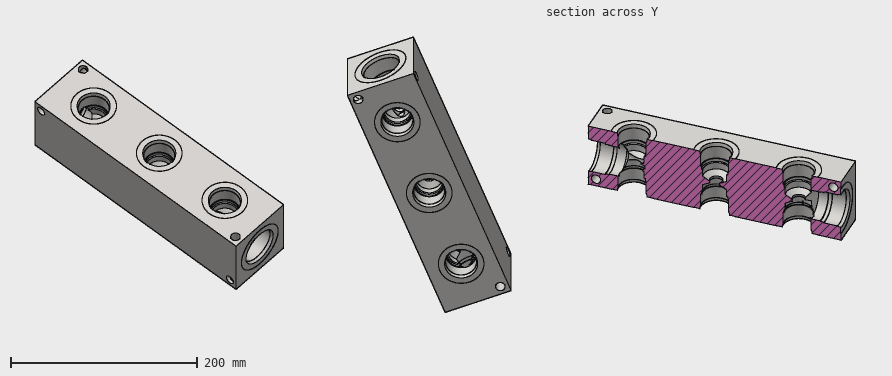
import cadquery as cq
import math

LENGTH = 292.0
SIDE = 76.2
MIDDLE = SIDE / 2

MOUNT_DIAMETER = 10.2
MOUNT_INSET = 9.0

SPOTFACE_DEPTH = 0.3
DRILL_POINT_ANGLE = 118.0
POINT_SLOPE = 1 / math.tan(math.radians(DRILL_POINT_ANGLE / 2))

SIDE_PORT = {
    "spotface": 49.0,
    "seat_mouth": 35.5,
    "seat_throat": 34.0,
    "thread": 33.3,
    "tap_drill": 31.3,
    "pilot": 28.5,
    "seat_depth": 4.7,
    "thread_depth": 20.0,
    "tap_depth": 23.5,
    "pilot_depth": 32.5,
}
PORT_PITCH = 95.2
PORT_POSITIONS = [LENGTH / 2 + step * PORT_PITCH for step in (-1, 0, 1)]

END_PORT = {
    "spotface": 58.7,
    "seat_mouth": 43.5,
    "seat_throat": 41.8,
    "thread": 41.2,
    "tap_drill": 39.0,
    "pilot": 38.0,
    "seat_depth": 4.0,
    "thread_depth": 20.0,
    "tap_depth": 24.0,
    "pilot_depth": 35.3,
}

CROSS_DIAMETER = 14.3

PASSAGE_MOUTH_DIAMETER = 22.5
PASSAGE_NOSE_DIAMETER = 9.5
PASSAGE_END_DEPTH = 65.5


def revolve_profile(points):
    """Solid of revolution about Z from (radius, height) points that start and end on the axis."""
    return cq.Workplane("XZ").polyline(points).close().revolve(360, (0, 0), (0, 1))


def port_cavity(port):
    """Port that opens at Z = 0 and is drilled toward -Z, ending in a drill point."""
    spotface = port["spotface"] / 2
    thread = port["thread"] / 2
    tap_drill = port["tap_drill"] / 2
    pilot = port["pilot"] / 2
    tap_point_depth = port["tap_depth"] + (tap_drill - pilot) * POINT_SLOPE
    tip_depth = port["pilot_depth"] + pilot * POINT_SLOPE
    return revolve_profile([
        (0, 0),
        (spotface, 0),
        (spotface, -SPOTFACE_DEPTH),
        (port["seat_mouth"] / 2, -SPOTFACE_DEPTH),
        (port["seat_throat"] / 2, -port["seat_depth"]),
        (thread, -port["seat_depth"]),
        (thread, -port["thread_depth"]),
        (tap_drill, -port["thread_depth"]),
        (tap_drill, -port["tap_depth"]),
        (pilot, -tap_point_depth),
        (pilot, -port["pilot_depth"]),
        (0, -tip_depth),
    ])


def through_drill(diameter):
    """Cylinder along +Z, as long as the block is wide."""
    return cq.Workplane("XY").circle(diameter / 2).extrude(SIDE)


def face_minus_x(tool):
    """Turn a tool that opens toward +Z so that it opens on the -X end face."""
    return tool.rotate((0, 0, 0), (0, 1, 0), -90).translate((0, MIDDLE, MIDDLE))


def face_plus_x(tool):
    """Turn a tool that opens toward +Z so that it opens on the +X end face."""
    return tool.rotate((0, 0, 0), (0, 1, 0), 90).translate((LENGTH, MIDDLE, MIDDLE))


block = cq.Workplane("XY").box(LENGTH, SIDE, SIDE, centered=False)

top_port = port_cavity(SIDE_PORT)
bottom_port = top_port.rotate((0, 0, 0), (1, 0, 0), 180)
cross_drilling = through_drill(CROSS_DIAMETER)
for x in PORT_POSITIONS:
    block = block.cut(top_port.translate((x, MIDDLE, SIDE)))
    block = block.cut(bottom_port.translate((x, MIDDLE, 0)))
    block = block.cut(cross_drilling.translate((x, MIDDLE, 0)))

end_port = port_cavity(END_PORT)
block = block.cut(face_minus_x(end_port))
block = block.cut(face_plus_x(end_port))

passage = revolve_profile([
    (0, -END_PORT["pilot_depth"]),
    (PASSAGE_MOUTH_DIAMETER / 2, -END_PORT["pilot_depth"]),
    (PASSAGE_NOSE_DIAMETER / 2, -PASSAGE_END_DEPTH),
    (0, -PASSAGE_END_DEPTH),
])
block = block.cut(face_plus_x(passage))

mount_along_z = through_drill(MOUNT_DIAMETER)
mount_along_y = mount_along_z.rotate((0, 0, 0), (1, 0, 0), -90)
mount_corners = [
    (MOUNT_INSET, SIDE - MOUNT_INSET),
    (LENGTH - MOUNT_INSET, MOUNT_INSET),
]
for x, offset in mount_corners:
    block = block.cut(mount_along_z.translate((x, offset, 0)))
    block = block.cut(mount_along_y.translate((x, 0, offset)))

result = block